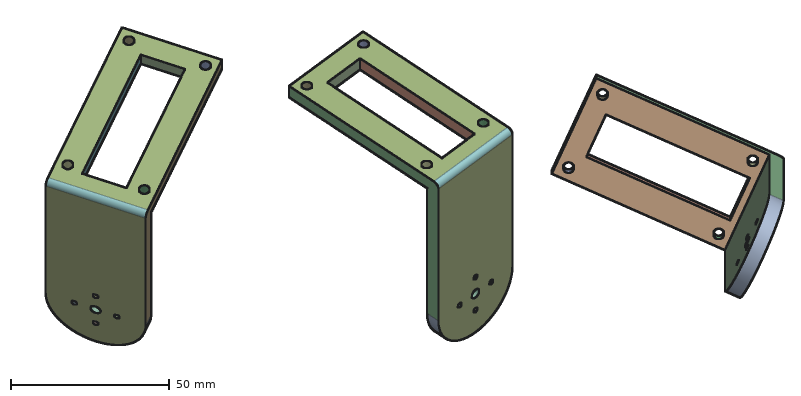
import cadquery as cq

width = 34.0
depth = 65.0
height = 77.0
thickness = 5.0
bend_radius = 2.0

window_width = 15.0
window_length = 49.8
window_back_margin = 7.7
mount_hole_diameter = 3.4
mount_spacing_x = 26.0
mount_spacing_y = 52.05
mount_back_margin = 4.0

shaft_hole_diameter = 3.4
screw_hole_diameter = 1.8
screw_circle_radius = 7.2
screw_count = 4

end_radius = width / 2
window_center_y = depth - window_back_margin - window_length / 2
mount_center_y = depth - mount_back_margin - mount_spacing_y / 2


def l_profile():
    """L-shaped plate with the outer corner of the bend rounded."""
    return (
        cq.Workplane("YZ")
        .moveTo(0, 0)
        .lineTo(0, height - bend_radius)
        .radiusArc((bend_radius, height), bend_radius)
        .lineTo(depth, height)
        .lineTo(depth, height - thickness)
        .lineTo(thickness, height - thickness)
        .lineTo(thickness, 0)
        .close()
        .extrude(width / 2, both=True)
    )


def front_outline():
    """Straight-sided outline with a semicircular lower end, through the full depth."""
    return (
        cq.Workplane("XZ")
        .moveTo(-end_radius, height)
        .lineTo(-end_radius, end_radius)
        .threePointArc((0, 0), (end_radius, end_radius))
        .lineTo(end_radius, height)
        .close()
        .extrude(-depth)
    )


def top_openings():
    """Window and mounting holes through the top plate."""
    plane = cq.Workplane("XY", origin=(0, 0, height - thickness))
    window = plane.center(0, window_center_y).rect(window_width, window_length).extrude(thickness)
    holes = (
        plane.center(0, mount_center_y)
        .rect(mount_spacing_x, mount_spacing_y, forConstruction=True)
        .vertices()
        .circle(mount_hole_diameter / 2)
        .extrude(thickness)
    )
    return window.union(holes)


def upright_holes():
    """Central hole and its ring of screw holes, concentric with the rounded end."""
    plane = cq.Workplane("XZ", origin=(0, 0, end_radius))
    shaft_hole = plane.circle(shaft_hole_diameter / 2).extrude(-thickness)
    screw_holes = (
        plane.polarArray(screw_circle_radius, 0, 360, screw_count)
        .circle(screw_hole_diameter / 2)
        .extrude(-thickness)
    )
    return shaft_hole.union(screw_holes)


bracket = l_profile().intersect(front_outline())
result = bracket.cut(top_openings()).cut(upright_holes())